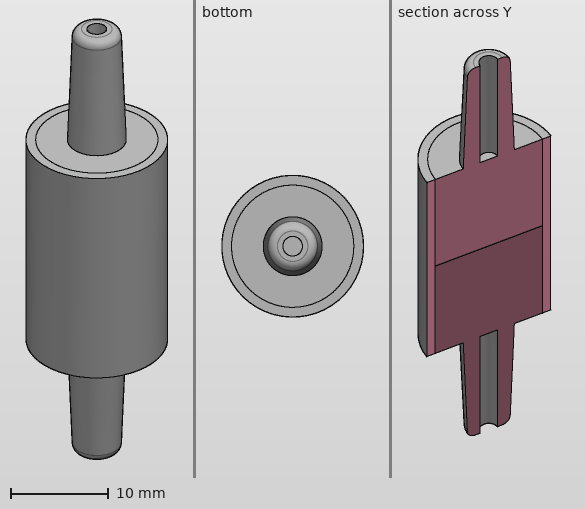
import cadquery as cq

total_length = 51.5
sleeve_length = 24.4
sleeve_diameter = 14.5

plug_diameter = 12.5
nozzle_base_diameter = 6.0
nozzle_tip_diameter = 5.0
tip_fillet = 1.0
bore_diameter = 2.0

half_length = total_length / 2
half_sleeve = sleeve_length / 2
nozzle_length = half_length - half_sleeve
bore_depth = nozzle_length


def make_sleeve():
    """Plain open tube around both plugs."""
    return (
        cq.Workplane("XY", origin=(0, 0, -half_sleeve))
        .circle(sleeve_diameter / 2)
        .circle(plug_diameter / 2)
        .extrude(sleeve_length)
    )


def make_plug():
    """Upper plug, from the middle of the sleeve to the rounded nozzle tip."""
    blank = (
        cq.Workplane("XZ")
        .lineTo(plug_diameter / 2, 0)
        .lineTo(plug_diameter / 2, half_sleeve)
        .lineTo(nozzle_base_diameter / 2, half_sleeve)
        .lineTo(nozzle_tip_diameter / 2, half_length)
        .lineTo(0, half_length)
        .close()
        .revolve(360, (0, 0, 0), (0, 1, 0))
    )
    rounded = blank.faces(">Z").edges().fillet(tip_fillet)
    return rounded.faces(">Z").workplane().hole(bore_diameter, bore_depth)


sleeve = make_sleeve()

plugs = []
for turn_angle in (0, 180):
    plug = make_plug().rotate((0, 0, 0), (1, 0, 0), turn_angle)
    plugs.append(plug.val())

result = cq.Compound.makeCompound([sleeve.val(), *plugs])